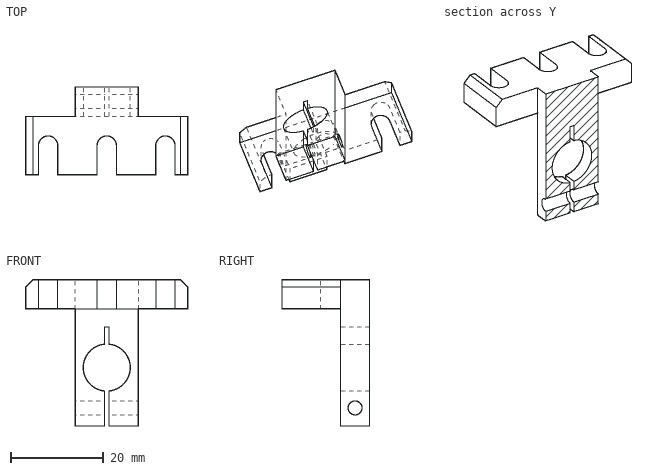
import cadquery as cq

thickness = 6.35
plate_length = 35.1
plate_reach = 2 * thickness
total_height = 5 * thickness
stem_width = 13.7
chamfer_size = 1.58

slot_width = 4.15
slot_pitch = 2 * thickness
slot_center_depth = thickness

bore_diameter = 10.15
bore_height = 2 * thickness
slit_width = 0.95
slit_height = 21.48
screw_hole_diameter = 3.0
screw_hole_height = 3.95

plate_front = -plate_reach
plate_bottom = total_height - thickness


def box(width, depth, height, y_start, z_start, x_center=0):
    """Box centred on x_center, growing toward +Y and +Z."""
    return (
        cq.Workplane("XY")
        .box(width, depth, height, centered=(True, False, False))
        .translate((x_center, y_start, z_start))
    )


def make_plate():
    """Horizontal plate with chamfered top ends and open front slots."""
    plate = box(plate_length, plate_reach, thickness, plate_front, plate_bottom)
    plate = plate.faces(">Z").edges("|Y").chamfer(chamfer_size)
    slot_center_y = plate_front + slot_center_depth
    for x in (-slot_pitch, 0, slot_pitch):
        opening = box(slot_width, slot_center_depth, thickness, plate_front, plate_bottom, x)
        round_end = (
            cq.Workplane("XY", origin=(x, slot_center_y, plate_bottom))
            .circle(slot_width / 2)
            .extrude(thickness)
        )
        plate = plate.cut(opening).cut(round_end)
    return plate


def make_stem():
    """Vertical clamp with a bore, a clamping slit and a cross screw hole."""
    stem = box(stem_width, thickness, total_height, 0, 0)
    bore = (
        cq.Workplane("XZ", origin=(0, thickness, bore_height))
        .circle(bore_diameter / 2)
        .extrude(thickness)
    )
    slit = box(slit_width, thickness, slit_height, 0, 0)
    screw_hole = (
        cq.Workplane("YZ", origin=(0, thickness / 2, screw_hole_height))
        .circle(screw_hole_diameter / 2)
        .extrude(stem_width / 2, both=True)
    )
    return stem.cut(bore).cut(slit).cut(screw_hole)


result = make_plate().union(make_stem())